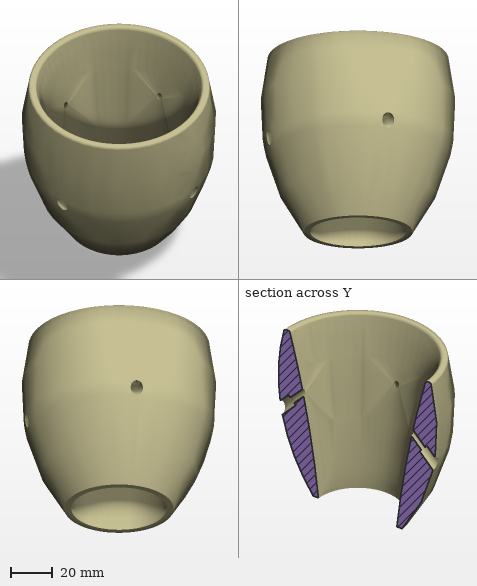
import cadquery as cq
import math

height = 88.0
max_radius = 46.9
outer_arc_radius = 101.2
base_outer_radius = 26.2
base_inner_radius = 23.0
rim_inner_radius = 40.0
rim_fillet = 1.5

passage_count = 4
passage_tilt = 45.0
inner_mouth_radius = 32.1
inner_mouth_height = 56.05
passage_diameter = 3.0
counterbore_diameter = 6.0
counterbore_start = 9.4
cutter_overrun = 4.7
cutter_length = 32.8

arc_center_radius = max_radius - outer_arc_radius
widest_height = math.sqrt(outer_arc_radius**2 - (base_outer_radius - arc_center_radius) ** 2)


def outer_radius(z):
    """Radius of the outer wall at height z."""
    return arc_center_radius + math.sqrt(outer_arc_radius**2 - (z - widest_height) ** 2)


def make_shell():
    """Revolve the wall section about Z and round both edges of the rim."""
    shell = (
        cq.Workplane("XZ")
        .moveTo(base_inner_radius, 0)
        .lineTo(base_outer_radius, 0)
        .threePointArc((max_radius, widest_height), (outer_radius(height), height))
        .lineTo(rim_inner_radius, height)
        .threePointArc((inner_mouth_radius, inner_mouth_height), (base_inner_radius, 0))
        .close()
        .revolve(360, (0, 0), (0, 1))
    )
    return shell.faces(">Z").edges().fillet(rim_fillet)


def make_passage_cutter():
    """Stepped cutter on the +X side, running outward and down from the inner mouth."""
    tilt = math.radians(passage_tilt)
    axis = cq.Vector(math.cos(tilt), 0, -math.sin(tilt))
    mouth = cq.Vector(inner_mouth_radius, 0, inner_mouth_height)
    bore = cq.Solid.makeCylinder(
        passage_diameter / 2, cutter_length, mouth - axis * cutter_overrun, axis
    )
    counterbore = cq.Solid.makeCylinder(
        counterbore_diameter / 2, cutter_length, mouth + axis * counterbore_start, axis
    )
    return cq.Workplane(obj=bore.fuse(counterbore))


result = make_shell()
passage_cutter = make_passage_cutter()
for index in range(passage_count):
    angle = index * 360 / passage_count
    result = result.cut(passage_cutter.rotate((0, 0, 0), (0, 0, 1), angle))